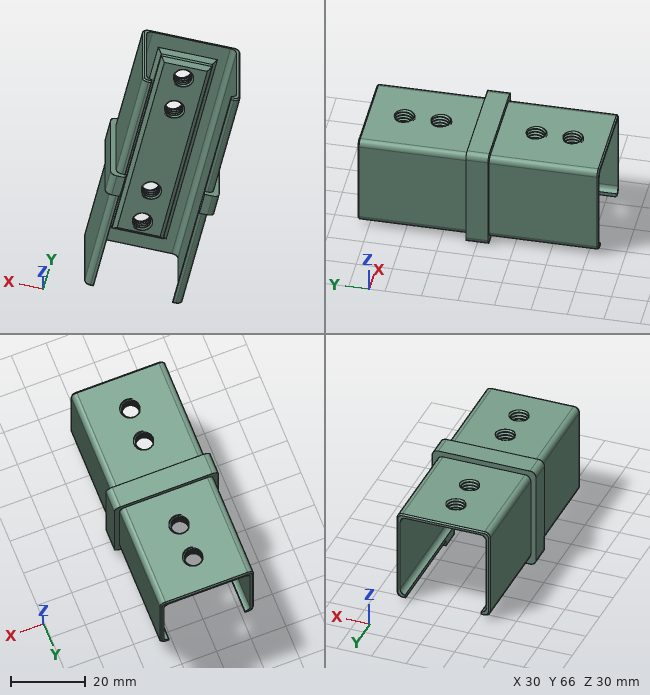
import cadquery as cq

length = 66.0
sleeve_width = 26.9
wall = 1.05
sleeve_radius = 1.65
inner_radius = 1.65
end_chamfer = 0.4
opening_width = 22.0

collar_width = 30.0
collar_length = 6.1
collar_radius = 1.8

plate_width = 14.1
plate_length = 55.45
plate_drop = 3.35
plate_bevel = 1.1

hole_positions = [-23.1, -13.1, 13.1, 23.1]
minor_diameter = 4.95
major_diameter = 6.0
thread_pitch = 1.0
groove_opening = 0.85 * thread_pitch
thread_overlap = 0.05

inner_width = sleeve_width - 2 * wall
roof_top = sleeve_width / 2
roof_bottom = inner_width / 2
plate_bottom = roof_bottom - plate_drop


def square_bar(width, bar_length, radius):
    """Rounded square bar along Y, centred on the origin."""
    return cq.Workplane("XY").box(width, bar_length, width).edges("|Y").fillet(radius)


def make_channel():
    sleeve = square_bar(sleeve_width, length, sleeve_radius).faces("<Y or >Y").chamfer(end_chamfer)
    collar = square_bar(collar_width, collar_length, collar_radius)
    cavity = square_bar(inner_width, length, inner_radius)
    opening_height = collar_width / 2
    opening = cq.Workplane("XY").box(opening_width, length, opening_height)
    opening = opening.translate((0, 0, -opening_height / 2))
    return sleeve.union(collar).cut(cavity).cut(opening)


def make_plate():
    body_height = roof_top - wall / 2 - plate_bottom
    body = cq.Workplane("XY").box(plate_width, plate_length, body_height, centered=(True, True, False))
    body = body.faces("<Z").chamfer(plate_bevel).translate((0, 0, plate_bottom))
    flare = (
        cq.Workplane("XY", origin=(0, 0, roof_bottom))
        .rect(plate_width + 2 * plate_bevel, plate_length + 2 * plate_bevel)
        .workplane(offset=-plate_bevel)
        .rect(plate_width, plate_length)
        .loft(ruled=True)
    )
    return body.union(flare)


def make_thread_cutter():
    """Minor bore plus a right-handed V groove, deepest towards +X at the roof surface."""
    minor_radius = minor_diameter / 2
    turns_below_roof = 6
    turns = turns_below_roof + 1
    bottom = roof_top - turns_below_roof * thread_pitch
    bore = cq.Workplane("XY", origin=(0, 0, bottom)).circle(minor_radius).extrude(turns * thread_pitch)
    helix = cq.Wire.makeHelix(thread_pitch, turns * thread_pitch, minor_radius)
    root = minor_radius - thread_overlap
    groove = (
        cq.Workplane("XZ")
        .moveTo(root, -groove_opening / 2)
        .lineTo(major_diameter / 2, 0)
        .lineTo(root, groove_opening / 2)
        .close()
        .sweep(cq.Workplane(obj=helix), isFrenet=True)
        .translate((0, 0, bottom))
    )
    return bore.union(groove)


result = make_channel().union(make_plate())
thread_cutter = make_thread_cutter()
for hole_y in hole_positions:
    result = result.cut(thread_cutter.translate((0, hole_y, 0)))